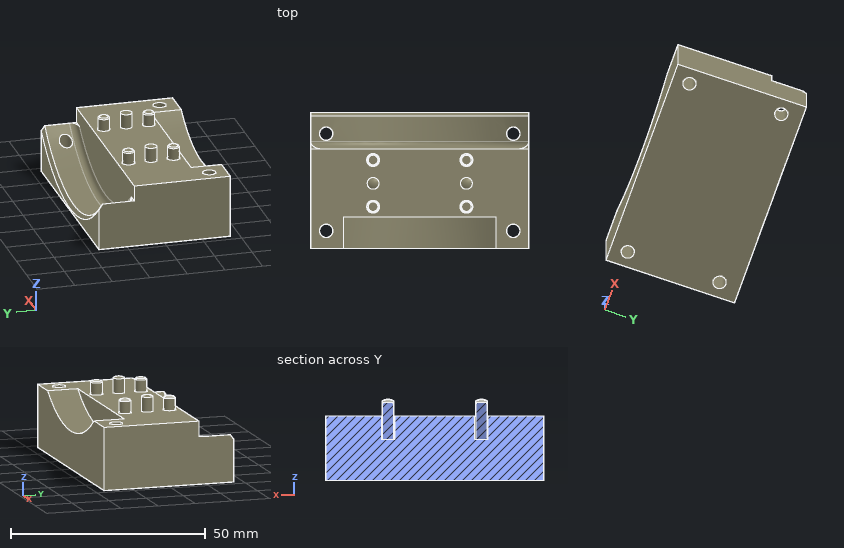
import cadquery as cq
import math

length = 56.0
width = 35.0
height = 16.65

mount_hole_diameter = 3.35
mount_hole_x = 24.0
mount_hole_front_y = 4.55
mount_hole_pitch_y = 25.0

front_recess_depth_y = 8.1
front_recess_radius = 32.0
front_recess_sagitta = 6.65

step_wall_y = 25.6
step_height = 12.55
trough_radius = 41.0
trough_inner_fillet = 1.9
trough_rear_chamfer = 0.95

pin_diameter = 3.0
pin_x = 12.0
pin_row_y = 16.75
pin_pitch_y = 6.0

pin_depth = 6.0

outer_pin_projection = 3.5
outer_pin_chamfer_width = 0.3
outer_pin_chamfer_height = 0.35
clearance_hole_diameter = 3.3
domed_pin_shoulder = 3.85
dome_rise = 0.45

pin_radius = pin_diameter / 2
pin_base_z = height - pin_depth
domed_pin_places = [(x, pin_row_y) for x in (-pin_x, pin_x)]
outer_pin_places = [
    (x, pin_row_y + side * pin_pitch_y) for x in (-pin_x, pin_x) for side in (-1, 1)
]


def cylinder_along_y(radius, axis_z, start_y, end_y):
    """A cylinder with its axis parallel to Y, above the middle of the block."""
    plane = cq.Plane(origin=(0, start_y, axis_z), xDir=(1, 0, 0), normal=(0, 1, 0))
    return cq.Workplane(plane).circle(radius).extrude(end_y - start_y)


def front_recess():
    axis_z = height - front_recess_sagitta + front_recess_radius
    return cylinder_along_y(front_recess_radius, axis_z, 0, front_recess_depth_y)


def rear_step():
    return cq.Workplane("XY", origin=(0, step_wall_y, step_height)).box(
        length, width - step_wall_y, height - step_height, centered=(True, False, False)
    )


def rear_trough():
    """Cylinder with a rounded inner end and an outer end that flares at 45 degrees."""
    axis_z = step_height + math.sqrt(trough_radius**2 - (length / 2) ** 2)
    trough = cylinder_along_y(trough_radius, axis_z, step_wall_y, width)
    trough = trough.faces("<Y").edges().fillet(trough_inner_fillet)
    flare_plane = cq.Plane(
        origin=(0, width - trough_rear_chamfer, axis_z), xDir=(1, 0, 0), normal=(0, 1, 0)
    )
    flare = (
        cq.Workplane(flare_plane)
        .circle(trough_radius)
        .workplane(offset=trough_rear_chamfer)
        .circle(trough_radius + trough_rear_chamfer)
        .loft()
    )
    return trough.union(flare)


def blind_holes(places, diameter):
    return (
        cq.Workplane("XY", origin=(0, 0, pin_base_z))
        .pushPoints(places)
        .circle(diameter / 2)
        .extrude(pin_depth)
    )


def mounting_holes():
    rear_y = mount_hole_front_y + mount_hole_pitch_y
    places = [(x, y) for x in (-mount_hole_x, mount_hole_x) for y in (mount_hole_front_y, rear_y)]
    return cq.Workplane("XY").pushPoints(places).circle(mount_hole_diameter / 2).extrude(height)


def make_block():
    return (
        cq.Workplane("XY")
        .box(length, width, height, centered=(True, False, False))
        .cut(front_recess())
        .cut(rear_step())
        .cut(rear_trough())
        .cut(mounting_holes())
        .cut(blind_holes(domed_pin_places, pin_diameter))
        .cut(blind_holes(outer_pin_places, clearance_hole_diameter))
    )


def make_outer_pin(x, y):
    pin = (
        cq.Workplane("XY", origin=(x, y, pin_base_z))
        .circle(pin_radius)
        .extrude(pin_depth + outer_pin_projection)
    )
    return pin.faces(">Z").edges().chamfer(outer_pin_chamfer_height, outer_pin_chamfer_width)


def make_domed_pin(x, y):
    shoulder_z = pin_depth + domed_pin_shoulder
    dome_radius = (pin_radius**2 + dome_rise**2) / (2 * dome_rise)
    dome_centre_z = shoulder_z + dome_rise - dome_radius
    half_angle = math.asin(pin_radius / dome_radius) / 2
    dome_middle = (
        dome_radius * math.sin(half_angle),
        dome_centre_z + dome_radius * math.cos(half_angle),
    )
    profile = (
        cq.Workplane("XZ")
        .lineTo(pin_radius, 0)
        .lineTo(pin_radius, shoulder_z)
        .threePointArc(dome_middle, (0, shoulder_z + dome_rise))
        .close()
    )
    return profile.revolve(360, (0, 0), (0, 1)).translate((x, y, pin_base_z))


block = make_block()
outer_pins = [make_outer_pin(x, y) for x, y in outer_pin_places]
domed_pins = [make_domed_pin(x, y) for x, y in domed_pin_places]

result = cq.Compound.makeCompound([body.val() for body in [block, *outer_pins, *domed_pins]])